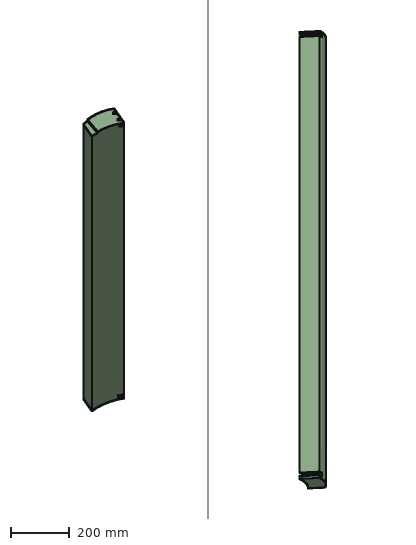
import cadquery as cq

length = 1580.0
depth = 122.0
width = 79.0

bow_outer_y = -58.0
outer_back_x = 10.0
outer_front_x = 13.0
inner_middle_x = 66.0
inner_middle_y = -63.0
inner_front_x = 71.0

step_drop = 6.0
step_y_outer = -103.0
step_y_inner = -96.0

top_slot_height = 10.0
top_lip = 8.0
top_slot_depth = 16.0
bottom_slot_height = 13.0
bottom_lip = 10.0
bottom_slot_depth = 19.0

hole_diameter = 8.0
hole_y = -10.0
hole_places_x = (27.0, 58.0)


def make_bar():
    """Extrude the bowed cross-section along Z."""
    return (
        cq.Workplane("XY")
        .moveTo(outer_back_x, 0)
        .threePointArc((0, bow_outer_y), (outer_front_x, -depth))
        .lineTo(inner_front_x, -depth)
        .threePointArc((inner_middle_x, inner_middle_y), (width, 0))
        .close()
        .extrude(length)
    )


def make_front_step():
    """Material removed from the front of the upper end."""
    return (
        cq.Workplane("XY", origin=(0, 0, length - step_drop))
        .polyline([(0, step_y_outer), (width, step_y_inner), (width, -depth), (0, -depth)])
        .close()
        .extrude(step_drop)
    )


def make_back_slot(bottom_z, height, slot_depth):
    """Slot cut into the back face over the whole width."""
    return (
        cq.Workplane("XY", origin=(0, -slot_depth, bottom_z))
        .box(width, slot_depth, height, centered=False)
    )


def make_lip_holes():
    """Vertical holes through the upper lip."""
    return (
        cq.Workplane("XY", origin=(0, 0, length - top_lip))
        .pushPoints([(x, hole_y) for x in hole_places_x])
        .circle(hole_diameter / 2)
        .extrude(top_lip)
    )


top_slot_z = length - top_lip - top_slot_height

result = (
    make_bar()
    .cut(make_front_step())
    .cut(make_back_slot(top_slot_z, top_slot_height, top_slot_depth))
    .cut(make_back_slot(bottom_lip, bottom_slot_height, bottom_slot_depth))
    .cut(make_lip_holes())
)